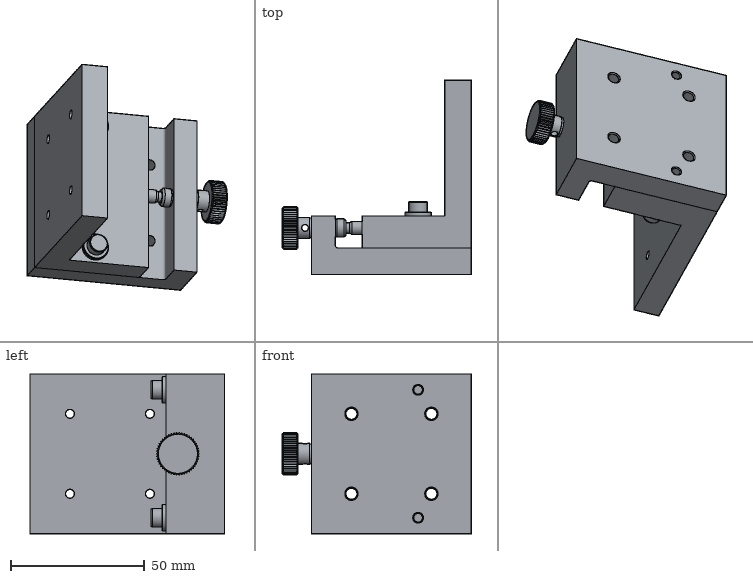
import cadquery as cq
import math


width = 60.0
plate_thickness = 10.0
shelf_top = 22.0
total_depth = 73.0
leg_thickness = 9.0
slide_start = 19.0
inner_fillet = 1.0

hole_spacing = 30.0
hole_low = (width - hole_spacing) / 2
hole_high = hole_low + hole_spacing
plate_hole_diameter = 4.13
plate_hole_mouth = 5.0
long_leg_hole_diameter = 3.24
long_leg_hole_y = 28.0

clamp_x = 40.0
clamp_edge_distance = 6.0
clamp_heights = (clamp_edge_distance, width - clamp_edge_distance)
clamp_tap_diameter = 3.24
shank_diameter = 4.0
shank_clearance_diameter = 4.5
shank_engagement = 6.0
flange_diameter = 10.0
flange_height = 1.5
flange_chamfer = 0.3
head_diameter = 7.0
head_height = 4.0
head_chamfer_height = 0.5
head_chamfer_inset = 0.25

spindle_y = 17.5
spindle_z = width / 2
spindle_diameter = 5.0
spindle_depth = 10.0
knob_start = -11.0
knob_length = 6.0
knob_diameter = 16.0
knob_chamfer = 0.65
knurl_teeth = 50
knurl_depth = 0.6
boss_diameter = 8.0
boss_end = -0.8
shoulder_diameter = 7.5
cross_hole_diameter = 2.46
cross_hole_x = -2.4
collar_diameter = 7.0
collar_length = 4.0
collar_back_diameter = 6.5
collar_back_chamfer = 0.6
collar_front_diameter = 5.5
collar_front_chamfer = 0.85
relief_diameter = 4.0
relief_end = 14.3
thread_start = 15.2


def y_cylinder(x, z, diameter, y_start, y_end):
    """Cylinder along +Y from y_start to y_end."""
    axis_start = cq.Vector(x, y_start, z)
    return cq.Workplane(cq.Solid.makeCylinder(diameter / 2, y_end - y_start, axis_start, cq.Vector(0, 1, 0)))


def x_cylinder(y, z, diameter, x_start, x_end):
    """Cylinder along +X from x_start to x_end."""
    axis_start = cq.Vector(x_start, y, z)
    return cq.Workplane(cq.Solid.makeCylinder(diameter / 2, x_end - x_start, axis_start, cq.Vector(1, 0, 0)))


def countersink(x, z, mouth_diameter, hole_diameter):
    """45-degree cone that widens a hole at the outer face of the plate (Y = 0)."""
    depth = (mouth_diameter - hole_diameter) / 2
    mouth = cq.Vector(x, 0, z)
    cone = cq.Solid.makeCone(mouth_diameter / 2, hole_diameter / 2, depth, mouth, cq.Vector(0, 1, 0))
    return cq.Workplane(cone)


def make_fixed_bracket():
    outline = [
        (0, 0),
        (width, 0),
        (width, plate_thickness),
        (leg_thickness, plate_thickness),
        (leg_thickness, shelf_top),
        (0, shelf_top),
    ]
    body = cq.Workplane("XY").polyline(outline).close().extrude(width)
    inner_corner = cq.selectors.NearestToPointSelector((leg_thickness, plate_thickness, width / 2))
    body = body.edges(inner_corner).fillet(inner_fillet)

    for x in (hole_low, hole_high):
        for z in (hole_low, hole_high):
            body = body.cut(y_cylinder(x, z, plate_hole_diameter, 0, plate_thickness))
            body = body.cut(countersink(x, z, plate_hole_mouth, plate_hole_diameter))

    for z in clamp_heights:
        body = body.cut(y_cylinder(clamp_x, z, clamp_tap_diameter, 0, plate_thickness))
        body = body.cut(countersink(clamp_x, z, shank_diameter, clamp_tap_diameter))
        engaged_from = plate_thickness - shank_engagement
        body = body.cut(y_cylinder(clamp_x, z, shank_diameter, engaged_from, plate_thickness))

    return body.cut(x_cylinder(spindle_y, spindle_z, spindle_diameter, 0, leg_thickness))


def make_sliding_bracket():
    long_leg_start = width - plate_thickness
    outline = [
        (slide_start, plate_thickness),
        (width, plate_thickness),
        (width, total_depth),
        (long_leg_start, total_depth),
        (long_leg_start, shelf_top),
        (slide_start, shelf_top),
    ]
    body = cq.Workplane("XY").polyline(outline).close().extrude(width)

    for z in (hole_low, hole_high):
        body = body.cut(y_cylinder(hole_high, z, plate_hole_diameter, plate_thickness, shelf_top))
        for y in (long_leg_hole_y, long_leg_hole_y + hole_spacing):
            body = body.cut(x_cylinder(y, z, long_leg_hole_diameter, long_leg_start, width))

    for z in clamp_heights:
        body = body.cut(y_cylinder(clamp_x, z, shank_clearance_diameter, plate_thickness, shelf_top))

    spindle_end = slide_start + spindle_depth
    return body.cut(x_cylinder(spindle_y, spindle_z, spindle_diameter, slide_start, spindle_end))


def make_clamp_screw(z):
    """Flanged cap screw along Y, seated on the foot of the sliding bracket."""
    shank_radius = shank_diameter / 2
    flange_radius = flange_diameter / 2
    head_radius = head_diameter / 2
    tip = plate_thickness - shank_engagement
    flange_top = shelf_top + flange_height
    head_top = flange_top + head_height
    half_profile = [
        (0, tip),
        (shank_radius, tip),
        (shank_radius, shelf_top),
        (flange_radius, shelf_top),
        (flange_radius, flange_top - flange_chamfer),
        (flange_radius - flange_chamfer, flange_top),
        (head_radius, flange_top),
        (head_radius, head_top - head_chamfer_height),
        (head_radius - head_chamfer_inset, head_top),
        (0, head_top),
    ]
    screw = cq.Workplane("XY").polyline(half_profile).close().revolve(360, (0, 0), (0, 1))
    return screw.translate((clamp_x, 0, z))


def make_knurled_knob():
    """Chamfered knob along X with V-shaped teeth around its rim."""
    rim = []
    for i in range(2 * knurl_teeth):
        angle = math.pi * i / knurl_teeth
        radius = knob_diameter / 2 - knurl_depth * (i % 2)
        rim.append((radius * math.cos(angle), radius * math.sin(angle)))
    toothed = cq.Workplane("YZ").polyline(rim).close().extrude(knob_length)
    envelope = cq.Workplane("YZ").circle(knob_diameter / 2).extrude(knob_length).edges().chamfer(knob_chamfer)
    return toothed.intersect(envelope).translate((knob_start, 0, 0))


def make_thumbscrew():
    """Knob, boss, spindle and retaining collar, built on the X axis and moved into place."""
    knob_end = knob_start + knob_length
    collar_end = leg_thickness + collar_length
    spindle_end = slide_start + spindle_depth
    stations = [
        (knob_end, boss_diameter),
        (boss_end, boss_diameter),
        (boss_end, shoulder_diameter),
        (0, shoulder_diameter),
        (0, spindle_diameter),
        (leg_thickness, spindle_diameter),
        (leg_thickness, collar_back_diameter),
        (leg_thickness + collar_back_chamfer, collar_diameter),
        (collar_end - collar_front_chamfer, collar_diameter),
        (collar_end, collar_front_diameter),
        (collar_end, relief_diameter),
        (relief_end, relief_diameter),
        (thread_start, spindle_diameter),
        (spindle_end, spindle_diameter),
    ]
    outer_line = [(x, diameter / 2) for x, diameter in stations]
    half_profile = [(knob_end, 0)] + outer_line + [(spindle_end, 0)]
    spindle = cq.Workplane("XY").polyline(half_profile).close().revolve(360, (0, 0), (1, 0))
    cross_hole = (
        cq.Workplane("XY")
        .center(cross_hole_x, 0)
        .circle(cross_hole_diameter / 2)
        .extrude(boss_diameter / 2, both=True)
    )
    screw = make_knurled_knob().union(spindle).cut(cross_hole)
    return screw.translate((0, spindle_y, spindle_z))


fixed_bracket = make_fixed_bracket()
sliding_bracket = make_sliding_bracket()
thumbscrew = make_thumbscrew()
clamp_screws = [make_clamp_screw(z).val() for z in clamp_heights]

result = cq.Compound.makeCompound([
    fixed_bracket.val(),
    sliding_bracket.val(),
    thumbscrew.val(),
    *clamp_screws,
])